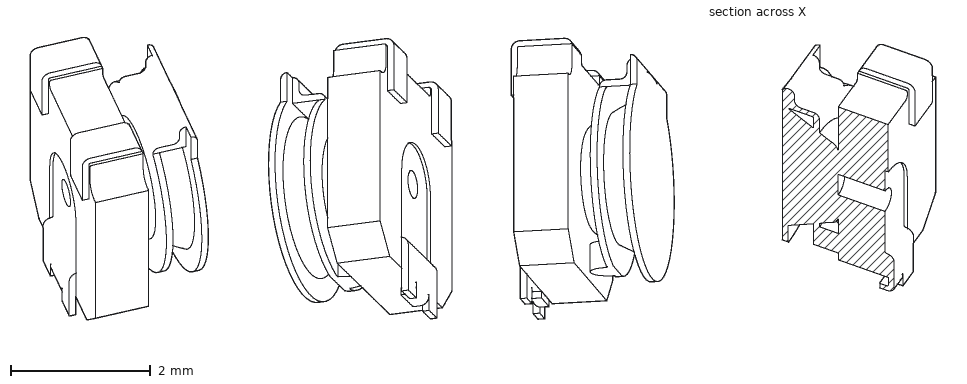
import cadquery as cq
import math


sheet = 0.1
inner_bend = 0.025
outer_bend = sheet + inner_bend
cutter_depth = 3 * sheet

half_width = 1.5
body_depth = 0.8
body_bottom = -1.5
bottom_chamfer = 0.4
shoulder_z = 1.2
shoulder_radius = 0.2
horn_outer_x = 1.25
horn_inner_x = 0.6
horn_top = 1.7
recess_z = 1.55
recess_fillet = 0.05
front_y = -body_depth
plate_front_y = front_y - sheet

slot_half_width = 0.6
slot_depth = 0.05
slot_floor_y = front_y + slot_depth
hole_radius = 0.2

hook_inner_x = 0.65
hook_width = 0.55
hook_bottom = 1.0
hook_top = horn_top + sheet

tongue_top = -1.0
tongue_bottom = -1.85
notch_half_width = 0.2675
notch_top = -1.61
lug_half_width = 0.255
lug_bottom = -1.767
lug_tip_y = -0.66

rear_plate_y = 0.8
rear_plate_radius = 1.5
rear_tab_half_width = 1.0
rear_tab_top = 1.56
middle_plate_y = 0.3
middle_plate_radius = 1.4
middle_plate_bottom = -1.365
step_half_width = 0.775
step_bottom = math.sqrt(middle_plate_radius**2 - step_half_width**2)
step_radius = 0.1

cone_rear_radius = 1.167
cone_front_radius = 0.75
cone_edge_fillet = 0.165

contact_height = 0.4
contact_radius = 0.225
contact_flank_angle = math.radians(15)


def slab(outline, rear_y, depth):
    """Extrude an outline drawn in X and Z from rear_y toward -Y."""
    return outline.extrude(depth).translate((0, rear_y, 0))


def bar(profile, center_x, width):
    """Extrude a profile drawn in Y and Z symmetrically about center_x."""
    return profile.extrude(width / 2, both=True).translate((center_x, 0, 0))


def disc(radius, disc_front_y):
    """Sheet-metal disc facing along Y."""
    return slab(cq.Workplane("XZ").circle(radius), disc_front_y + sheet, sheet)


def make_body():
    """Block with two horns at the top and chamfered bottom corners."""
    chamfer_x = half_width - bottom_chamfer
    chamfer_z = body_bottom + bottom_chamfer
    shoulder_x = horn_outer_x + shoulder_radius
    horn_root_z = shoulder_z + shoulder_radius
    half = (
        cq.Workplane("XZ")
        .moveTo(0, body_bottom)
        .lineTo(chamfer_x, body_bottom)
        .lineTo(half_width, chamfer_z)
        .lineTo(half_width, shoulder_z)
        .lineTo(shoulder_x, shoulder_z)
        .radiusArc((horn_outer_x, horn_root_z), shoulder_radius)
        .lineTo(horn_outer_x, horn_top)
        .lineTo(horn_inner_x, horn_top)
        .lineTo(horn_inner_x, recess_z + recess_fillet)
        .radiusArc((horn_inner_x - recess_fillet, recess_z), recess_fillet)
        .lineTo(0, recess_z)
        .close()
        .extrude(body_depth)
    )
    body = half.union(half.mirror("YZ"))
    front_horn_edges = cq.selectors.BoxSelector(
        (-half_width, front_y - inner_bend, horn_top - inner_bend),
        (half_width, front_y + inner_bend, horn_top + inner_bend),
    )
    return body.edges(front_horn_edges).edges("|X").fillet(inner_bend)


def make_slot():
    """Round-topped slot in the front face and the hole through the body behind it."""
    outline = (
        cq.Workplane("XZ")
        .moveTo(-slot_half_width, body_bottom)
        .lineTo(-slot_half_width, 0)
        .threePointArc((0, slot_half_width), (slot_half_width, 0))
        .lineTo(slot_half_width, body_bottom)
        .close()
    )
    slot = slab(outline, slot_floor_y, slot_depth)
    hole = slab(cq.Workplane("XZ").circle(hole_radius), 0, body_depth)
    return slot.union(hole)


def make_hook(side):
    """Strip lying on a horn, rounded at the rear and bent down over the front face."""
    bend_z = hook_top - outer_bend
    profile = (
        cq.Workplane("YZ")
        .moveTo(0, bend_z)
        .radiusArc((-outer_bend, hook_top), -outer_bend)
        .lineTo(plate_front_y + outer_bend, hook_top)
        .radiusArc((plate_front_y, bend_z), -outer_bend)
        .lineTo(plate_front_y, hook_bottom)
        .lineTo(front_y, hook_bottom)
        .lineTo(front_y, bend_z)
        .radiusArc((front_y + inner_bend, horn_top), inner_bend)
        .lineTo(-outer_bend, horn_top)
        .lineTo(-outer_bend, bend_z)
        .close()
    )
    return bar(profile, side * (hook_inner_x + hook_width / 2), hook_width)


def make_tongue():
    """Strip rising out of the slot through a double bend and running down below the body."""
    bend_y = plate_front_y + outer_bend
    profile = (
        cq.Workplane("YZ")
        .moveTo(slot_floor_y, tongue_top)
        .radiusArc((bend_y, tongue_top - inner_bend), inner_bend)
        .radiusArc((plate_front_y, tongue_top - inner_bend - outer_bend), -outer_bend)
        .lineTo(plate_front_y, tongue_bottom)
        .lineTo(front_y, tongue_bottom)
        .lineTo(front_y, body_bottom)
        .lineTo(slot_floor_y, body_bottom)
        .close()
    )
    notch_height = notch_top - tongue_bottom
    notch = cq.Workplane("XY").box(
        2 * notch_half_width, cutter_depth, notch_height, centered=(True, True, False)
    ).translate((0, front_y, tongue_bottom))
    tongue = bar(profile, 0, 2 * slot_half_width).cut(notch)
    return tongue.union(make_lug())


def make_lug():
    """Small lug at the notch, bent rearward from the tongue."""
    bend_y = plate_front_y + outer_bend
    profile = (
        cq.Workplane("YZ")
        .moveTo(plate_front_y, notch_top)
        .lineTo(plate_front_y, lug_bottom + outer_bend)
        .radiusArc((bend_y, lug_bottom), -outer_bend)
        .lineTo(lug_tip_y, lug_bottom)
        .lineTo(lug_tip_y, lug_bottom + sheet)
        .lineTo(bend_y, lug_bottom + sheet)
        .radiusArc((front_y, lug_bottom + outer_bend), inner_bend)
        .lineTo(front_y, notch_top)
        .close()
    )
    return bar(profile, 0, 2 * lug_half_width)


def make_rear_plate():
    """Disc with a straight-sided tab rising behind the step."""
    rear_face_y = rear_plate_y + sheet
    tab_profile = (
        cq.Workplane("YZ")
        .moveTo(rear_plate_y, 0)
        .lineTo(rear_plate_y, rear_tab_top)
        .radiusArc((rear_face_y, rear_tab_top - sheet), sheet)
        .lineTo(rear_face_y, 0)
        .close()
    )
    return disc(rear_plate_radius, rear_plate_y).union(bar(tab_profile, 0, 2 * rear_tab_half_width))


def make_middle_plate():
    """Disc cut flat at the bottom and where the step meets it."""
    plate = disc(middle_plate_radius, middle_plate_y)
    height = step_bottom - middle_plate_bottom
    window = cq.Workplane("XY").box(
        2 * middle_plate_radius, cutter_depth, height, centered=(True, True, False)
    ).translate((0, middle_plate_y, middle_plate_bottom))
    return plate.intersect(window)


def make_step():
    """Upright strip on the rear plate, folded forward and down into the middle plate."""
    upright_front_y = rear_plate_y - sheet
    step_top = step_bottom + sheet
    middle_rear_y = middle_plate_y + sheet
    profile = (
        cq.Workplane("YZ")
        .moveTo(rear_plate_y, step_bottom)
        .lineTo(rear_plate_y, rear_tab_top)
        .radiusArc((upright_front_y, rear_tab_top - step_radius), -step_radius)
        .lineTo(upright_front_y, step_top + step_radius)
        .radiusArc((upright_front_y - step_radius, step_top), step_radius)
        .lineTo(middle_plate_y + step_radius, step_top)
        .radiusArc((middle_plate_y, step_top - step_radius), -step_radius)
        .lineTo(middle_rear_y, step_bottom - inner_bend)
        .radiusArc((middle_rear_y + inner_bend, step_bottom), inner_bend)
        .close()
    )
    return bar(profile, 0, 2 * step_half_width)


def make_cone():
    """Cone from the rear plate down to the rear face of the body."""
    profile = (
        cq.Workplane("XY")
        .lineTo(-cone_front_radius, 0)
        .lineTo(-cone_rear_radius, rear_plate_y)
        .lineTo(0, rear_plate_y)
        .close()
    )
    cone = profile.revolve(360, (0, 0, 0), (0, 1, 0))
    return cone.edges("<Y").fillet(cone_edge_fillet)


def make_contact():
    """Bump with leaning flanks and a round crest, reaching from the middle plate to the body."""
    flank_x = contact_radius * math.cos(contact_flank_angle)
    flank_y = contact_radius * (1 - math.sin(contact_flank_angle))
    root_y = middle_plate_y + sheet / 2
    root_x = flank_x + (root_y - flank_y) * math.tan(contact_flank_angle)
    outline = (
        cq.Workplane("XY")
        .moveTo(-root_x, root_y)
        .lineTo(-flank_x, flank_y)
        .threePointArc((0, 0), (flank_x, flank_y))
        .lineTo(root_x, root_y)
        .close()
    )
    return outline.extrude(contact_height).translate((0, 0, middle_plate_bottom))


result = make_body().cut(make_slot()).union(make_tongue())
for side in (-1, 1):
    result = result.union(make_hook(side))
for piece in (make_cone(), make_rear_plate(), make_middle_plate(), make_step(), make_contact()):
    result = result.union(piece)